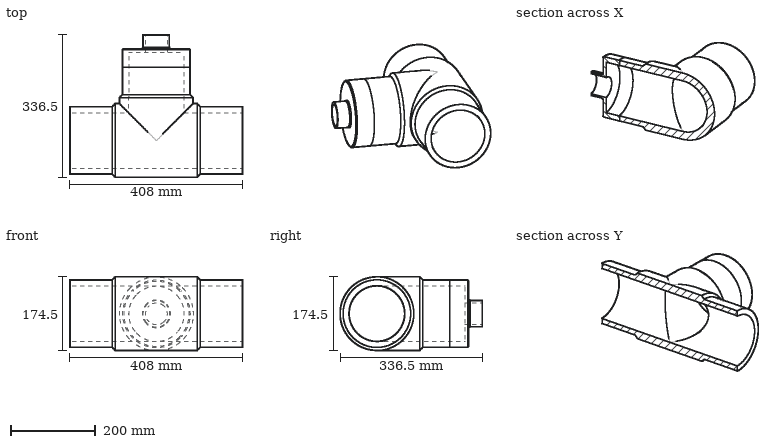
import cadquery as cq

run_length = 408.0
pipe_radius = 160.0 / 2
bore_radius = 131.0 / 2
sleeve_radius = 174.5 / 2
sleeve_half_length = 104.0
sleeve_chamfer = sleeve_radius - pipe_radius
branch_sleeve_end = 108.5
branch_end = 172.5

reducer_shoulder = 217.0
plate_start = 208.0
shoulder_chamfer = 3.0
outlet_radius = 63.0 / 2
outlet_bore_radius = 51.5 / 2
overall_depth = 336.5
outlet_end = overall_depth - sleeve_radius
outlet_flare_width = 1.5
outlet_flare_height = 3.5


def cylinder_x(radius, length):
    """Cylinder along X, centred on the origin."""
    return cq.Workplane("YZ").circle(radius).extrude(length / 2, both=True)


def cylinder_y(radius, start, end):
    """Cylinder along Y from start to end."""
    return cq.Workplane("XZ", origin=(0, start, 0)).circle(radius).extrude(start - end)


def make_tee():
    run_sleeve = cylinder_x(sleeve_radius, 2 * sleeve_half_length)
    run_sleeve = run_sleeve.edges().chamfer(sleeve_chamfer)
    branch_sleeve = cylinder_y(sleeve_radius, 0, branch_sleeve_end)
    branch_sleeve = branch_sleeve.faces(">Y").edges().chamfer(sleeve_chamfer)
    tee = run_sleeve.union(branch_sleeve)
    tee = tee.union(cylinder_x(pipe_radius, run_length))
    tee = tee.union(cylinder_y(pipe_radius, 0, branch_end))
    tee = tee.cut(cylinder_x(bore_radius, run_length))
    return tee.cut(cylinder_y(bore_radius, 0, branch_end))


def make_reducer():
    profile = (
        cq.Workplane("XY")
        .moveTo(bore_radius, branch_end)
        .lineTo(pipe_radius, branch_end)
        .lineTo(pipe_radius, reducer_shoulder - shoulder_chamfer)
        .lineTo(pipe_radius - shoulder_chamfer, reducer_shoulder)
        .lineTo(outlet_radius + outlet_flare_width, reducer_shoulder)
        .lineTo(outlet_radius, reducer_shoulder + outlet_flare_height)
        .lineTo(outlet_radius, outlet_end)
        .lineTo(outlet_bore_radius, outlet_end)
        .lineTo(outlet_bore_radius, plate_start)
        .lineTo(bore_radius, plate_start)
        .close()
    )
    return profile.revolve(360, (0, 0, 0), (0, 1, 0))


tee = make_tee()
reducer = make_reducer()
result = cq.Compound.makeCompound([tee.val(), reducer.val()])